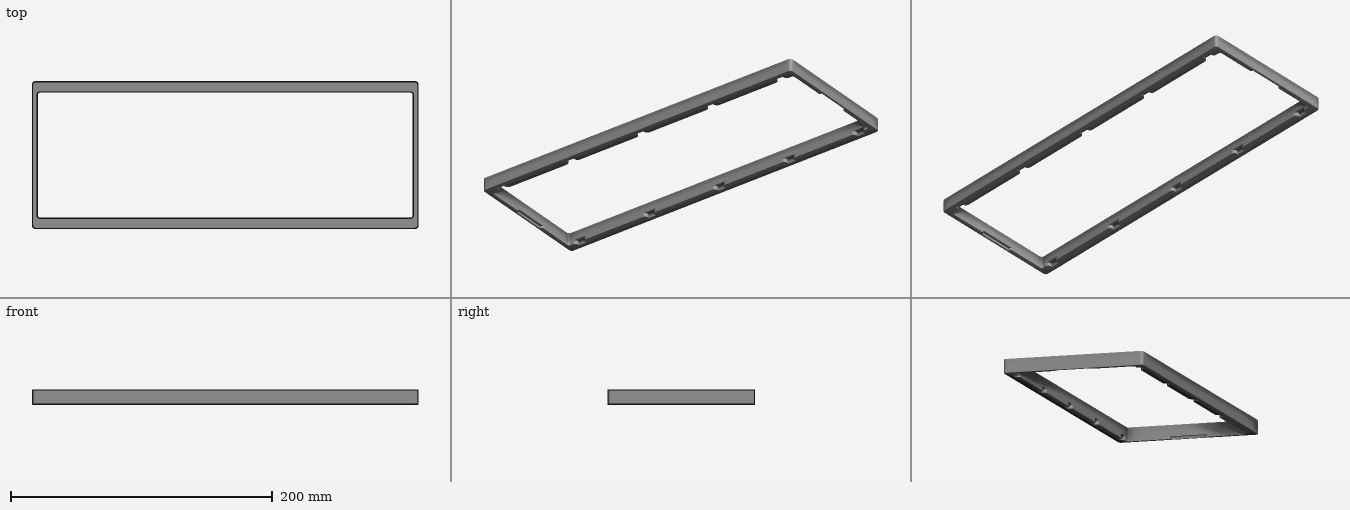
import cadquery as cq

LENGTH = 294.75
WIDTH = 112.25
HEIGHT = 11.0
CORNER_RADIUS = 2.5
EDGE_RADIUS = 0.4

SIDE_WALL = 3.75
LONG_WALL = 8.0
OPENING_LENGTH = LENGTH - 2 * SIDE_WALL
OPENING_WIDTH = WIDTH - 2 * LONG_WALL
OPENING_RADIUS = 2.0

LONG_RELIEF_COUNT = 5
LONG_RELIEF_PITCH = 66.675
LONG_RELIEF_WIDTH = 6.5
LONG_RELIEF_REACH = 4.0
LONG_RELIEF_DEPTH = 3.2
LONG_RELIEF_MOUTH_RADIUS = 3.0

SHORT_RELIEF_WIDTH = 29.0
SHORT_RELIEF_REACH = 2.0
SHORT_RELIEF_DEPTH = 2.0
SHORT_RELIEF_MOUTH_RADIUS = 1.6


def make_frame():
    block = cq.Workplane("XY").box(LENGTH, WIDTH, HEIGHT, centered=(True, True, False))
    block = block.edges("|Z").fillet(CORNER_RADIUS)
    opening = cq.Workplane("XY").box(OPENING_LENGTH, OPENING_WIDTH, HEIGHT, centered=(True, True, False))
    opening = opening.edges("|Z").fillet(OPENING_RADIUS)
    frame = block.faces("<Z").edges().fillet(EDGE_RADIUS).cut(opening)
    return frame.faces(">Z").edges().fillet(EDGE_RADIUS)


def relief_cutter(width, reach, depth, mouth_radius):
    """Pocket reaching toward +Y from a wall face at Y = 0, with its mouth corners rounded outward."""
    half = width / 2
    return (
        cq.Workplane("XY")
        .moveTo(-half - mouth_radius, 0)
        .radiusArc((-half, mouth_radius), -mouth_radius)
        .lineTo(-half, reach)
        .lineTo(half, reach)
        .lineTo(half, mouth_radius)
        .radiusArc((half + mouth_radius, 0), -mouth_radius)
        .close()
        .extrude(depth)
    )


def cut_long_wall_reliefs(frame):
    cutter = relief_cutter(LONG_RELIEF_WIDTH, LONG_RELIEF_REACH, LONG_RELIEF_DEPTH, LONG_RELIEF_MOUTH_RADIUS)
    first_x = -LONG_RELIEF_PITCH * (LONG_RELIEF_COUNT - 1) / 2
    for index in range(LONG_RELIEF_COUNT):
        back = cutter.translate((first_x + index * LONG_RELIEF_PITCH, OPENING_WIDTH / 2, 0))
        frame = frame.cut(back).cut(back.mirror("XZ"))
    return frame


def cut_short_wall_reliefs(frame):
    cutter = relief_cutter(
        SHORT_RELIEF_WIDTH, SHORT_RELIEF_REACH, SHORT_RELIEF_DEPTH, SHORT_RELIEF_MOUTH_RADIUS
    )
    left = cutter.translate((0, OPENING_LENGTH / 2, 0)).rotate((0, 0, 0), (0, 0, 1), 90)
    return frame.cut(left).cut(left.mirror("YZ"))


result = cut_short_wall_reliefs(cut_long_wall_reliefs(make_frame()))